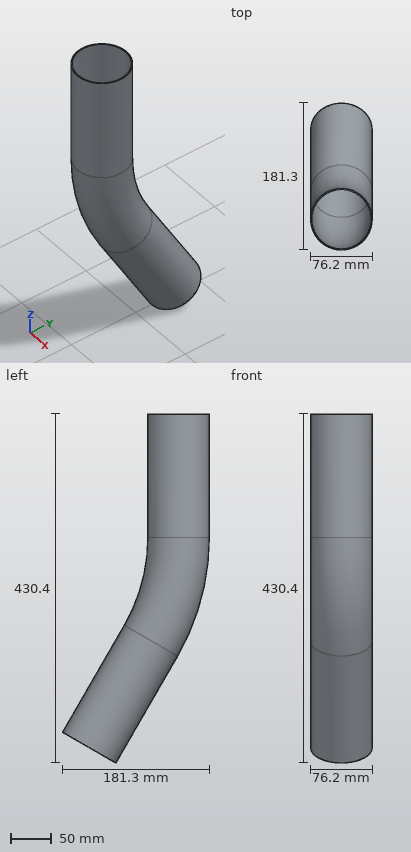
import cadquery as cq
import math

OUTER_DIAMETER = 76.2
INNER_DIAMETER = 73.0
LEG_LENGTH = 152.4
BEND_RADIUS = 254.0
BEND_ANGLE = 30.0


def tube_centerline():
    """Centerline in the YZ plane, from the top end down to the lower end."""
    angle = math.radians(BEND_ANGLE)

    def bend_point(turn):
        return BEND_RADIUS * (1 - math.cos(turn)), -BEND_RADIUS * math.sin(turn)

    bend_end_y, bend_end_z = bend_point(angle)
    lower_end = (
        bend_end_y + LEG_LENGTH * math.sin(angle),
        bend_end_z - LEG_LENGTH * math.cos(angle),
    )
    return (
        cq.Workplane("YZ")
        .moveTo(0, LEG_LENGTH)
        .lineTo(0, 0)
        .threePointArc(bend_point(angle / 2), (bend_end_y, bend_end_z))
        .lineTo(*lower_end)
    )


def bent_tube():
    """Ring-shaped section at the top end, swept along the centerline."""
    section = (
        cq.Workplane("XY", origin=(0, 0, LEG_LENGTH))
        .circle(OUTER_DIAMETER / 2)
        .circle(INNER_DIAMETER / 2)
    )
    return section.sweep(tube_centerline())


result = bent_tube()